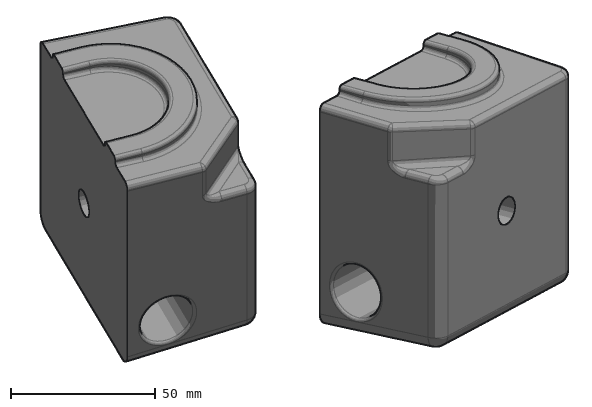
import cadquery as cq
import math

depth = 50.0
back_half = 40.0
draft_angle = 2
front_half = back_half + depth * math.tan(math.radians(draft_angle))
corner_radius = 5.0
rim_radius = 2.5

total_height = 86.75
band_top = total_height - front_half
band_inner_radius = 20.0
band_outer_radius = 30.0
band_center_y = 10.0
band_rounding = 1.5

notch_width = 20.0
notch_floor = 25.0

cross_bore_radius = 10.0
cross_bore_y = 15.0
cross_bore_z = -25.0
cross_bore_lip = 1.0
center_bore_radius = 5.0

MARGIN = 8.7
REACH = front_half + MARGIN
SLACK = 0.1


def edges_inside(solid, low, high, whole=True):
    """Edges inside a box: wholly, or by their centre only."""
    return solid.edges(cq.selectors.BoxSelector(low, high, boundingbox=whole))


def drafted_block():
    block = (
        cq.Workplane("XZ")
        .rect(2 * front_half, 2 * front_half)
        .extrude(-depth, taper=draft_angle)
    )
    edges = edges_inside(
        block, (-REACH, SLACK, -REACH), (REACH, depth + SLACK, back_half - SLACK), whole=False
    )
    return edges.fillet(corner_radius)


def cut_notch(block):
    """Lower the back right corner and round the foot of its wall."""
    wall_x = back_half - notch_width
    notch = (
        cq.Workplane("XY", origin=(0, 0, notch_floor))
        .moveTo(wall_x - MARGIN, depth + MARGIN)
        .lineTo(REACH, depth + wall_x - REACH)
        .lineTo(REACH, depth + MARGIN)
        .close()
        .extrude(REACH)
    )
    foot_plane = cq.selectors.BoxSelector(
        (-REACH, 0, notch_floor - SLACK), (REACH, depth, notch_floor + SLACK)
    )
    along_wall = cq.selectors.ParallelDirSelector(cq.Vector(1, -1, 0))
    return block.cut(notch).edges(foot_plane).edges(along_wall).fillet(rim_radius)


def round_rim(block):
    """Round the top face, the wall's upright ends and, smoothly joined to them, the notch floor."""
    top_edges = edges_inside(
        block.edges("not <Y"), (-REACH, -SLACK, back_half - SLACK), (REACH, depth + SLACK, REACH)
    )
    wall_ends = edges_inside(
        block.edges("|Z"), (0, 0, notch_floor), (REACH, depth + SLACK, REACH)
    )
    return top_edges.add(wall_ends).fillet(rim_radius)


def u_plate(radius):
    """Half-round plate, extended straight to the front face."""
    return (
        cq.Workplane("XY")
        .moveTo(-radius, 0)
        .lineTo(-radius, band_center_y)
        .threePointArc((0, band_center_y + radius), (radius, band_center_y))
        .lineTo(radius, 0)
        .close()
        .extrude(band_top)
    )


def add_band(block):
    """Add the band and round its top edges and its foot, inside and out."""
    band = u_plate(band_outer_radius).cut(u_plate(band_inner_radius))
    half_width = band_outer_radius + SLACK
    edges = edges_inside(
        block.union(band).edges("not <Y"),
        (-half_width, -SLACK, back_half - SLACK),
        (half_width, band_center_y + half_width, band_top + SLACK),
    )
    return edges.fillet(band_rounding)


def cut_bores(block):
    cross_bore = (
        cq.Workplane("YZ", origin=(-REACH, cross_bore_y, cross_bore_z))
        .circle(cross_bore_radius)
        .extrude(2 * REACH)
    )
    center_bore = cq.Workplane("XZ").circle(center_bore_radius).extrude(-depth)
    block = block.cut(cross_bore).cut(center_bore)
    mouth_radius = cross_bore_radius + SLACK
    mouths = edges_inside(
        block,
        (-REACH, cross_bore_y - mouth_radius, cross_bore_z - mouth_radius),
        (REACH, cross_bore_y + mouth_radius, cross_bore_z + mouth_radius),
    ).edges("not |X")
    return mouths.fillet(cross_bore_lip)


block = cut_notch(drafted_block())
block = round_rim(block)
block = add_band(block)
result = cut_bores(block)